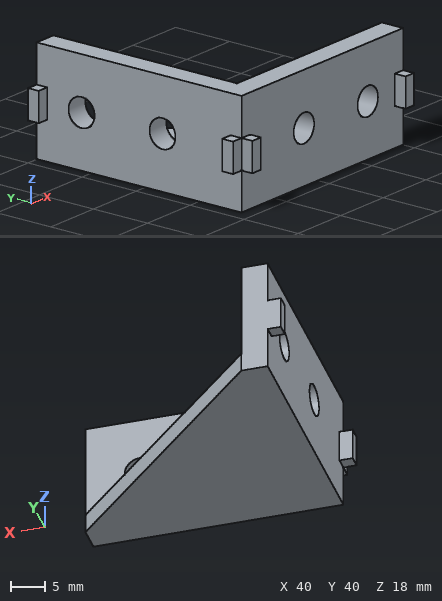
import cadquery as cq

overall = 40.0
height = 18.0
wall = 4.0
web_thickness = 3.0
tab_size = 2.0
tab_height = 5.0
hole_diameter = 4.8
first_hole = 16.65
hole_spacing = 15.0

corner = tab_size
inner = corner + wall
leg_length = overall - corner
mid_height = height / 2
tab_base = (height - tab_height) / 2
hole_places = (first_hole, first_hole + hole_spacing)
tab_places = (corner, overall - tab_size)


def box(x, y, z, length, width, tall):
    """Box with its lowest corner at (x, y, z)."""
    return cq.Workplane("XY").box(length, width, tall, centered=False).translate((x, y, z))


def web():
    """Triangular floor that ties the two legs together."""
    outline = [
        (corner, corner),
        (overall, corner),
        (overall, inner),
        (inner, overall),
        (corner, overall),
    ]
    return cq.Workplane("XY").polyline(outline).close().extrude(web_thickness)


def hole(place, along_x):
    """Bolt hole cutter through one leg."""
    start = (corner, place, mid_height) if along_x else (place, corner, mid_height)
    direction = (1, 0, 0) if along_x else (0, 1, 0)
    cutter = cq.Solid.makeCylinder(hole_diameter / 2, wall, cq.Vector(*start), cq.Vector(*direction))
    return cq.Workplane(obj=cutter)


result = box(corner, corner, 0, leg_length, wall, height)
result = result.union(box(corner, corner, 0, wall, leg_length, height))
result = result.union(web())

for place in tab_places:
    result = result.union(box(place, 0, tab_base, tab_size, tab_size, tab_height))
    result = result.union(box(0, place, tab_base, tab_size, tab_size, tab_height))

for place in hole_places:
    result = result.cut(hole(place, along_x=False))
    result = result.cut(hole(place, along_x=True))